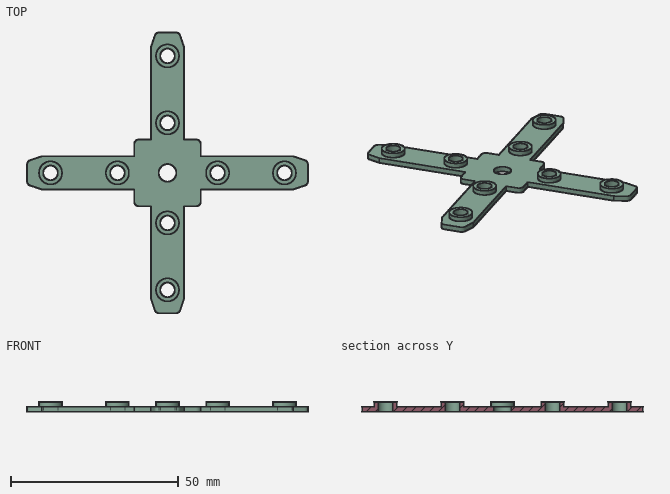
import cadquery as cq

plate_thickness = 1.6
hub_side = 20.0
hub_corner_radius = 1.5
center_hole_diameter = 5.2

span_x = 84.0
span_y = 83.97
arm_width = 10.0
taper_length = 4.5
taper_inset = 1.5
tip_corner_radius = 1.5

boss_height = 1.4
boss_diameter = 6.9
boss_hole_diameter = 4.3
inner_boss_distance = 14.95
boss_spacing = 20.0

total_height = plate_thickness + boss_height
boss_distances = (inner_boss_distance, inner_boss_distance + boss_spacing)
half_arm = arm_width / 2
half_tip = half_arm - taper_inset


def make_hub():
    hub = cq.Workplane("XY").rect(hub_side, hub_side).extrude(plate_thickness)
    return hub.edges("|Z").fillet(hub_corner_radius)


def make_arm(arm_reach):
    """Arm along +X with a tapered end, rounded tip corners and hollow bosses."""
    taper_start = arm_reach - taper_length
    arm = (
        cq.Workplane("XY")
        .moveTo(0, -half_arm)
        .lineTo(taper_start, -half_arm)
        .lineTo(arm_reach, -half_tip)
        .lineTo(arm_reach, half_tip)
        .lineTo(taper_start, half_arm)
        .lineTo(0, half_arm)
        .close()
        .extrude(plate_thickness)
    )
    tip_corners = cq.selectors.BoxSelector(
        (taper_start + taper_length / 2, -half_arm, -plate_thickness),
        (arm_reach + taper_length, half_arm, 2 * plate_thickness),
    )
    arm = arm.edges("|Z").edges(tip_corners).fillet(tip_corner_radius)
    boss_centers = [(distance, 0) for distance in boss_distances]
    bosses = cq.Workplane("XY").pushPoints(boss_centers).circle(boss_diameter / 2).extrude(total_height)
    holes = cq.Workplane("XY").pushPoints(boss_centers).circle(boss_hole_diameter / 2).extrude(total_height)
    return arm.union(bosses).cut(holes)


def make_part():
    part = make_hub()
    for span, angles in ((span_x, (0, 180)), (span_y, (90, 270))):
        arm = make_arm(span / 2)
        for angle in angles:
            part = part.union(arm.rotate((0, 0, 0), (0, 0, 1), angle))
    center_hole = cq.Workplane("XY").circle(center_hole_diameter / 2).extrude(plate_thickness)
    return part.cut(center_hole)


result = make_part()